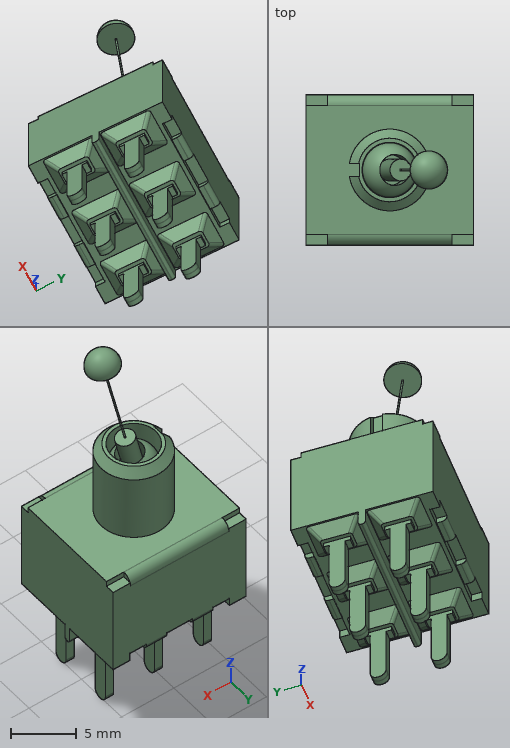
import cadquery as cq
import math

total_height = 34.45
pivot_z = 20.23
bushing_top = 22.65
case_top = 15.58
case_bottom = 6.6
pad_bottom = 5.6
shoulder_bottom = 5.2
rib_bottom = 5.03

case_length = 12.7
case_width = 11.45
case_middle = (case_bottom + case_top) / 2
edge_round = 0.83
corner_step_length = 1.65
corner_step_depth = 0.83
corner_step_height = 0.5
recess_length = 9.5
recess_depth = corner_step_depth
recess_height = 0.75
tab_length = 1.95
tab_offset = 2.2
tab_height = 0.55
tab_round = 0.4
rib_thickness = 0.6
rib_round = 0.28

bushing_diameter = 6.2
bore_diameter = 4.2
bushing_bevel_width = 0.7
bushing_bevel_height = 0.8
keyway_width = 0.95
keyway_depth = 0.8

lever_tilt = 13.0
ball_radius = 2.07
socket_diameter = 2.35
stub_diameter = 1.65
stub_length = 3.7
stem_diameter = 0.15
tip_radius = 1.45

pin_pitch_x = 4.7
pin_pitch_y = 4.9
pin_thickness = 0.8
pin_width = 1.28
shoulder_width = 2.15
pad_length_x = 3.1
pad_length_y = 4.25
pad_taper = 40.0
pad_corner_round = 0.35


def block(length, width, bottom, top, x=0.0, y=0.0):
    """Upright box centred on (x, y) between two heights."""
    centre = (x, y, (bottom + top) / 2)
    return cq.Workplane("XY").box(length, width, top - bottom).translate(centre)


def both_sides(feature):
    """A feature of the -Y side together with its mirror image on the +Y side."""
    return feature.union(feature.mirror("XZ"))


def make_case():
    """Box with rounded long top edges, stepped top corners and crimped bottom recesses."""
    case = block(case_length, case_width, case_bottom, case_top)
    case = case.faces(">Z").edges("|X").fillet(edge_round)

    step_x = (case_length - corner_step_length) / 2
    step_y = (corner_step_depth - case_width) / 2
    step_z = case_top - corner_step_height
    for x in (-step_x, step_x):
        corner = block(corner_step_length, corner_step_depth, case_middle, case_top, x, step_y)
        step = block(corner_step_length, corner_step_depth, step_z, case_top, x, step_y)
        case = case.union(both_sides(corner)).cut(both_sides(step))

    recess_y = (recess_depth - case_width) / 2
    recess_top = case_bottom + recess_height
    recess = block(recess_length, recess_depth, case_bottom, recess_top, y=recess_y)
    case = case.cut(both_sides(recess))
    for x in (-tab_offset, tab_offset):
        tab = block(tab_length, recess_depth, recess_top - tab_height, recess_top, x, recess_y)
        tab = tab.edges("<Y and <Z").fillet(tab_round)
        case = case.union(both_sides(tab))
    return case


def make_rib():
    """Thin barrier between the two rows of pins, with a rounded lower edge."""
    rib = block(case_length, rib_thickness, rib_bottom, case_middle)
    return rib.faces("<Z").edges("|X").fillet(rib_round)


def make_bushing():
    """Bored and bevelled cylinder with a keyway along its -X side."""
    radius = bushing_diameter / 2
    bore_radius = bore_diameter / 2
    profile = [
        (0, case_middle),
        (radius, case_middle),
        (radius, bushing_top - bushing_bevel_height),
        (radius - bushing_bevel_width, bushing_top),
        (bore_radius, bushing_top),
        (bore_radius, pivot_z),
        (0, pivot_z),
    ]
    bushing = cq.Workplane("XZ").polyline(profile).close().revolve(360, (0, 0), (0, 1))
    keyway = block(2 * keyway_depth, keyway_width, case_top, bushing_top, x=-radius)
    return bushing.cut(keyway)


def along_lever(feature):
    """Tilt a feature built upright on the origin and move it to the lever's pivot."""
    return feature.rotate((0, 0, 0), (0, 1, 0), lever_tilt).translate((0, 0, pivot_z))


def rod(diameter, length):
    """Upright cylinder standing on the origin."""
    return cq.Workplane("XY").circle(diameter / 2).extrude(length)


def make_lever():
    """Half ball with a socket, the stub standing in it, and a domed tip on a slim stem."""
    half_ball = cq.Workplane("XY").sphere(ball_radius).translate((0, 0, pivot_z))
    half_ball = half_ball.intersect(block(bore_diameter, bore_diameter, pivot_z, bushing_top))
    socket = rod(socket_diameter, 2 * ball_radius).translate((0, 0, -ball_radius))
    half_ball = half_ball.cut(along_lever(socket))

    stub_root = ball_radius / 2
    stub = rod(stub_diameter, stub_root + stub_length).translate((0, 0, -stub_root))

    tip_distance = (total_height - tip_radius - pivot_z) / math.cos(math.radians(lever_tilt))
    stem = rod(stem_diameter, tip_distance + tip_radius / 2)
    tip = cq.Workplane("XY").sphere(tip_radius)
    tip = tip.intersect(block(2 * tip_radius, 2 * tip_radius, 0, tip_radius))
    tip = tip.translate((0, 0, tip_distance))
    return half_ball.union(along_lever(stub)).union(along_lever(stem)).union(along_lever(tip))


def make_pin(x, y):
    """Flat round-ended pin with a shoulder, standing out of a tapered sealing pad."""
    pad_height = case_bottom - pad_bottom
    pad = cq.Workplane("XY", origin=(x, y, case_bottom)).rect(pad_length_x, pad_length_y)
    pad = pad.extrude(-pad_height, taper=pad_taper)
    pad = pad.edges("not (|X or |Y)").fillet(pad_corner_round)

    end_radius = pin_width / 2
    pin = block(pin_thickness, pin_width, end_radius, case_middle, x, y)
    round_end = cq.Workplane("YZ", origin=(x, y, end_radius)).circle(end_radius)
    pin = pin.union(round_end.extrude(pin_thickness / 2, both=True))
    shoulder = block(pin_thickness, shoulder_width, shoulder_bottom, case_middle, x, y)
    return pad.union(pin).union(shoulder)


result = make_case().union(make_rib()).union(make_bushing()).union(make_lever())
for column in (-1, 0, 1):
    for row in (-0.5, 0.5):
        result = result.union(make_pin(column * pin_pitch_x, row * pin_pitch_y))